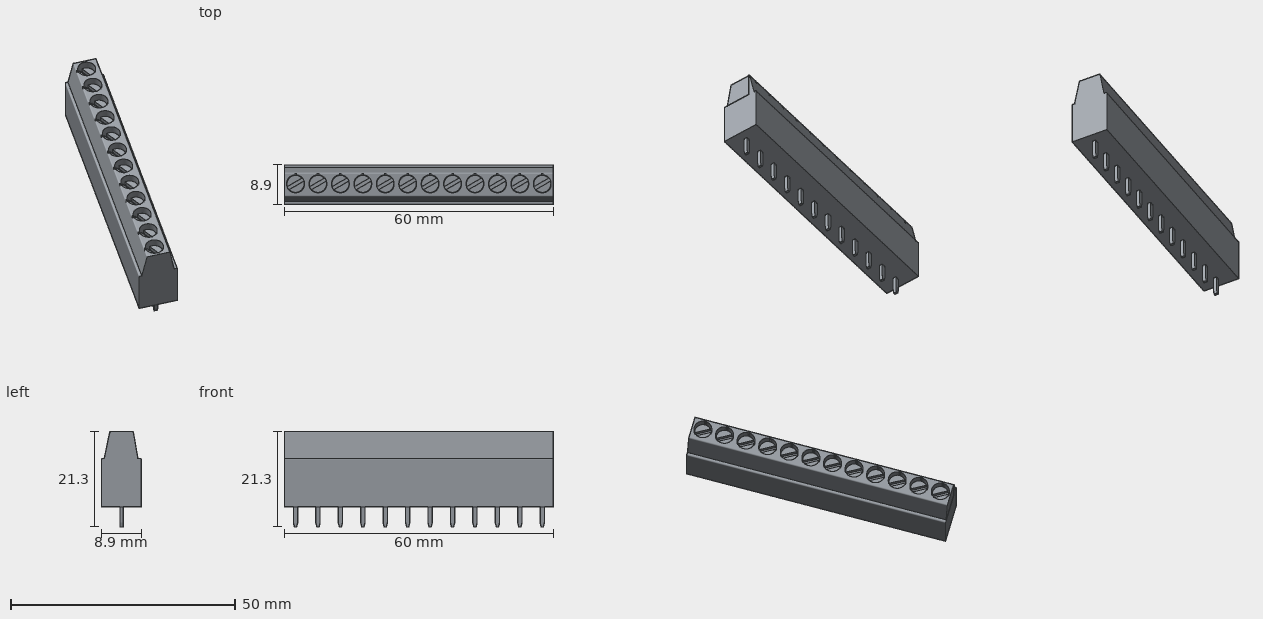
import cadquery as cq

pole_count = 12
pitch = 5.0
length = pole_count * pitch
first_pole_x = -length / 2 + pitch / 2
pole_positions = [first_pole_x + i * pitch for i in range(pole_count)]

depth = 8.9
base_height = 10.8
height = 16.8
front_ledge = 0.75
rear_ledge = 0.6
front_top_y = -2.67
rear_top_y = 2.6
rear_wall_front_y = 2.38
end_recess = 0.1
edge_radius = 0.3

well_diameter = 4.0
well_y = 0.2
screw_diameter = 3.8
screw_recess = 1.8
screw_slot_width = 0.8
screw_slot_depth = 1.0
screw_slot_angle = 30
bore_depth = screw_recess + screw_slot_depth
bore_floor_z = height - bore_depth
screw_top_z = height - screw_recess
notch_width = 0.35
notch_end_y = 2.5

pin_width = 1.0
pin_thickness = 0.8
pin_length = 4.5
pin_tip_length = 0.95
pin_tip_width = 0.5
pin_y = -0.05
pin_embed = 1.0


def make_housing():
    """Rectangular base with a narrower, tapered upper part."""
    base = (
        cq.Workplane("XY")
        .box(length, depth, base_height, centered=(True, True, False))
        .faces(">Z")
        .edges("|X")
        .fillet(edge_radius)
    )
    upper = (
        cq.Workplane("YZ", origin=(-length / 2, 0, 0))
        .moveTo(-depth / 2 + front_ledge, base_height)
        .lineTo(front_top_y, height)
        .lineTo(rear_top_y, height)
        .lineTo(depth / 2 - rear_ledge, base_height)
        .close()
        .extrude(length)
        .faces(">Z")
        .edges("|X")
        .fillet(edge_radius)
    )
    recess_corner = (length / 2 - end_recess, rear_wall_front_y - depth, base_height)
    recess_space = cq.Workplane("XY", origin=recess_corner).box(
        end_recess, depth, height - base_height, centered=False
    )
    return base.union(upper.cut(recess_space))


def make_screw_well(x):
    """Space of one well: a round bore with a side notch, less the slotted screw head standing on its floor."""
    bore = cq.Workplane("XY", origin=(x, well_y, bore_floor_z)).circle(well_diameter / 2).extrude(bore_depth)
    notch = cq.Workplane("XY", origin=(x, well_y, screw_top_z)).box(
        notch_width, notch_end_y - well_y, screw_recess, centered=(True, False, False)
    )
    head = (
        cq.Workplane("XY", origin=(x, well_y, bore_floor_z))
        .circle(screw_diameter / 2)
        .extrude(screw_slot_depth)
    )
    slot = (
        cq.Workplane("XY", origin=(x, well_y, bore_floor_z))
        .transformed(rotate=(0, 0, screw_slot_angle))
        .rect(well_diameter, screw_slot_width)
        .extrude(screw_slot_depth)
    )
    return bore.union(notch).cut(head.cut(slot))


def make_pin(x):
    """Flat pin whose two side faces taper towards the tip."""
    half_width = pin_width / 2
    half_tip = pin_tip_width / 2
    taper_z = pin_tip_length - pin_length
    return (
        cq.Workplane("XZ", origin=(x, pin_y + pin_thickness / 2, 0))
        .moveTo(-half_width, pin_embed)
        .lineTo(-half_width, taper_z)
        .lineTo(-half_tip, -pin_length)
        .lineTo(half_tip, -pin_length)
        .lineTo(half_width, taper_z)
        .lineTo(half_width, pin_embed)
        .close()
        .extrude(pin_thickness)
    )


result = make_housing()
for pole_x in pole_positions:
    result = result.cut(make_screw_well(pole_x)).union(make_pin(pole_x))